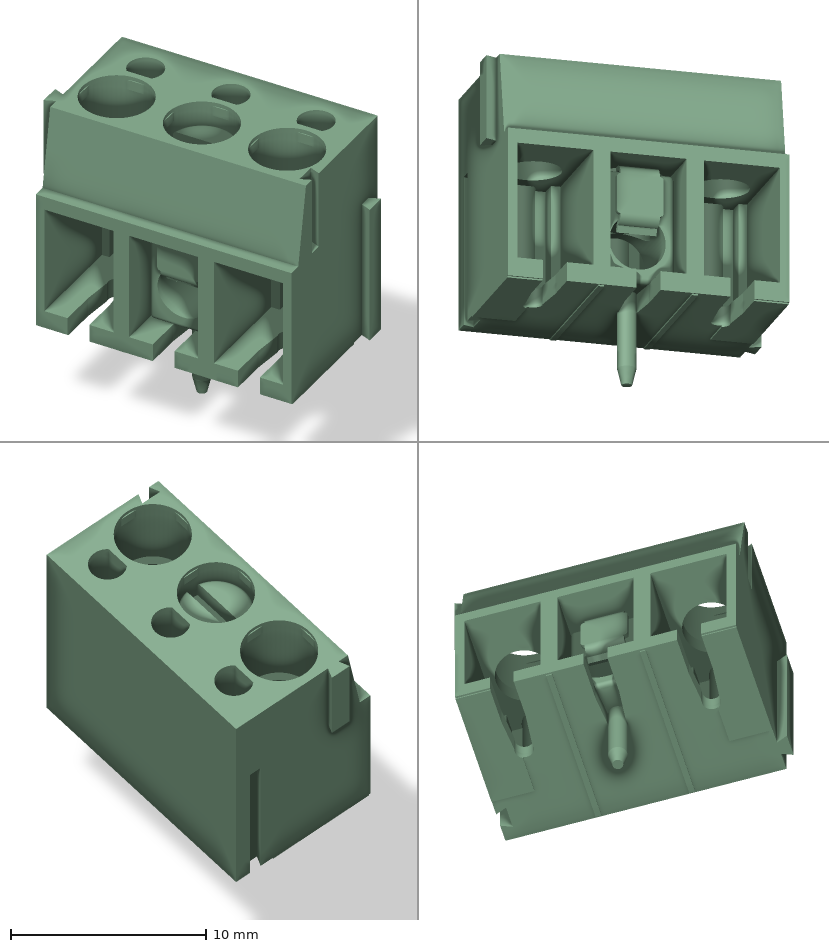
import cadquery as cq
import math


POLES = 3
POLE_PITCH = 5.0
BODY_WIDTH = POLES * POLE_PITCH
BODY_HEIGHT = 12.5
FRONT_Y = -4.0
BACK_Y = 5.0
STEP_Z = 8.0
BEVEL_TOP_SETBACK = 1.51
BEVEL_FOOT_SETBACK = 0.7

BAY_WIDTH = 4.05
BAY_PITCH = 4.97
BAY_FLOOR_Z = 1.02
BAY_CEILING_Z = 7.23
BAY_BACK_Y = 2.0
RECESS_WIDTH = 3.1
RECESS_BACK_Y = 3.0

HEAD_BORE_DIAMETER = 4.0
SEAT_HOLE_DIAMETER = 3.0
SEAT_Z = 8.23
RIB_INNER_RADIUS = 1.94
RIB_TOP_DEPTH = 0.23
RIB_HEIGHT = 0.57

PROBE_DIAMETER = 2.0
PROBE_Y = 3.03
PROBE_FLAT_Y = 2.35

SLOT_THROAT_WIDTH = 0.92
SLOT_MOUTH_WIDTH = 1.28
SLOT_FLARE_Y = -1.89

OVERALL_WIDTH = 16.2
DOVETAIL_DEPTH = (OVERALL_WIDTH - BODY_WIDTH) / 2
DOVETAIL_NECK = 0.7
DOVETAIL_WIDE = 1.2
DOVETAIL_FRONT_Y = FRONT_Y + 2.5
DOVETAIL_BACK_Y = FRONT_Y + 7.7

STANDOFF_HEIGHT = 0.08
STANDOFF_INSET = 0.1
PAD_WIDTH = 2.3
PAD_BACK_Y = 2.53
FOOT_RIB_WIDTH = 0.31

CLAMP_SIDE = 3.94
CLAMP_TOP_Z = 6.99
CLAMP_FILLET = 0.25
WIRE_HOLE_DIAMETER = 3.0
WIRE_HOLE_Z = 3.21
PIN_DIAMETER = 1.0
PIN_TIP_DIAMETER = 0.55
PIN_TIP_Z = -3.9
PIN_TAPER = 0.9

HEAD_DIAMETER = 3.9
HEAD_TOP_Z = 11.15
HEAD_FILLET = 0.2
DRIVE_SLOT_WIDTH = 0.79
DRIVE_SLOT_DEPTH = 0.98
SHANK_DIAMETER = 2.46
SHANK_TIP_Z = WIRE_HOLE_Z + WIRE_HOLE_DIAMETER / 2

GUARD_THICKNESS = BAY_CEILING_Z - CLAMP_TOP_Z
GUARD_FACE_Y = -2.46
GUARD_DISC_DIAMETER = 3.9
TONGUE_WIDTH = 2.1
PLATE_WIDTH = 2.5
PLATE_BOTTOM_Z = 4.51
PLATE_FILLET = 0.2
UPPER_BEND_RADIUS = 0.55
LOWER_BEND_RADIUS = 0.5
LIP_TILT = math.radians(26)
LIP_DROP = 0.35

OVERCUT = 0.16


def block(x_min, x_max, y_min, y_max, z_min, z_max):
    """Box between two opposite corners."""
    size = (x_max - x_min, y_max - y_min, z_max - z_min)
    return cq.Workplane("XY").box(*size, centered=False).translate((x_min, y_min, z_min))


def cylinder(diameter, z_min, z_max):
    """Upright cylinder on the Z axis."""
    return cq.Workplane("XY").workplane(offset=z_min).circle(diameter / 2).extrude(z_max - z_min)


def make_shell():
    """Plain housing block with its front ledge and sloping upper front."""
    profile = [
        (FRONT_Y, 0),
        (FRONT_Y, STEP_Z),
        (FRONT_Y + BEVEL_FOOT_SETBACK, STEP_Z),
        (FRONT_Y + BEVEL_TOP_SETBACK, BODY_HEIGHT),
        (BACK_Y, BODY_HEIGHT),
        (BACK_Y, 0),
    ]
    return cq.Workplane("YZ").polyline(profile).close().extrude(BODY_WIDTH / 2, both=True)


def make_bay():
    """Cutter for one clamp bay."""
    half = BAY_WIDTH / 2
    return block(-half, half, FRONT_Y - OVERCUT, BAY_BACK_Y, BAY_FLOOR_Z, BAY_CEILING_Z)


def make_bay_recess():
    """Cutter for the narrower recess in the back wall of a bay."""
    half = RECESS_WIDTH / 2
    return block(-half, half, 0, RECESS_BACK_Y, BAY_FLOOR_Z, BAY_CEILING_Z)


def make_screw_hole():
    """Cutter for a stepped screw hole, leaving four flat ribs near its mouth."""
    bore = cylinder(HEAD_BORE_DIAMETER, SEAT_Z, BODY_HEIGHT + OVERCUT)
    rib_top = BODY_HEIGHT - RIB_TOP_DEPTH
    rib_band = cylinder(HEAD_BORE_DIAMETER, rib_top - RIB_HEIGHT, rib_top)
    flat_side = 2 * RIB_INNER_RADIUS
    clear_core = cq.Workplane("XY").box(flat_side, flat_side, 2 * BODY_HEIGHT)
    seat_hole = cylinder(SEAT_HOLE_DIAMETER, BAY_CEILING_Z - OVERCUT, SEAT_Z)
    return bore.cut(rib_band.cut(clear_core)).union(seat_hole)


def make_probe_hole():
    """Cutter for a probe hole that is D-shaped above the bay."""
    hole = cylinder(PROBE_DIAMETER, BAY_FLOOR_Z, BODY_HEIGHT + OVERCUT).translate((0, PROBE_Y, 0))
    half = PROBE_DIAMETER / 2
    web = block(-half, half, 0, PROBE_FLAT_Y, 0, BODY_HEIGHT + OVERCUT)
    return hole.cut(web)


def make_pin_slot():
    """Cutter for a keyhole slot that widens towards the front."""
    outline = [
        (-SLOT_THROAT_WIDTH / 2, 0),
        (-SLOT_MOUTH_WIDTH / 2, SLOT_FLARE_Y),
        (-SLOT_MOUTH_WIDTH / 2, FRONT_Y),
        (SLOT_MOUTH_WIDTH / 2, FRONT_Y),
        (SLOT_MOUTH_WIDTH / 2, SLOT_FLARE_Y),
        (SLOT_THROAT_WIDTH / 2, 0),
    ]
    bottom = -STANDOFF_HEIGHT
    depth = BAY_FLOOR_Z - bottom
    slot = cq.Workplane("XY").workplane(offset=bottom).polyline(outline).close().extrude(depth)
    return slot.union(cylinder(PIN_DIAMETER, bottom, BAY_FLOOR_Z))


def make_dovetail(neck_x, depth, y, z_min, z_max):
    """Dovetail prism with its neck at neck_x; a negative depth makes it widen towards -X."""
    outline = [
        (neck_x, y - DOVETAIL_NECK / 2),
        (neck_x, y + DOVETAIL_NECK / 2),
        (neck_x + depth, y + DOVETAIL_WIDE / 2),
        (neck_x + depth, y - DOVETAIL_WIDE / 2),
    ]
    return cq.Workplane("XY").workplane(offset=z_min).polyline(outline).close().extrude(z_max - z_min)


def make_standoffs():
    """Two side pads and one narrow rib under each partition wall."""
    half = BODY_WIDTH / 2
    front = FRONT_Y + STANDOFF_INSET
    standoffs = block(-half, PAD_WIDTH - half, front, PAD_BACK_Y, -STANDOFF_HEIGHT, 0)
    standoffs = standoffs.union(block(half - PAD_WIDTH, half, front, PAD_BACK_Y, -STANDOFF_HEIGHT, 0))
    for wall in range(POLES - 1):
        x = (wall - (POLES - 2) / 2) * POLE_PITCH
        left = x - FOOT_RIB_WIDTH / 2
        back = BACK_Y - STANDOFF_INSET
        standoffs = standoffs.union(block(left, left + FOOT_RIB_WIDTH, front, back, -STANDOFF_HEIGHT, 0))
    return standoffs


def make_housing():
    """Housing with one identical cell per pole and dovetails on both sides."""
    half = BODY_WIDTH / 2
    housing = make_shell().union(make_standoffs())
    for pole in range(POLES):
        column = pole - (POLES - 1) / 2
        housing = housing.cut(make_bay().translate((column * BAY_PITCH, 0, 0)))
        for cutter in (make_bay_recess(), make_screw_hole(), make_probe_hole(), make_pin_slot()):
            housing = housing.cut(cutter.translate((column * POLE_PITCH, 0, 0)))

    upper = (DOVETAIL_FRONT_Y, STEP_Z, BODY_HEIGHT)
    lower = (DOVETAIL_BACK_Y, 0, STEP_Z)
    housing = housing.cut(make_dovetail(half, -DOVETAIL_DEPTH, *upper))
    housing = housing.cut(make_dovetail(-half, DOVETAIL_DEPTH, *lower))
    housing = housing.union(make_dovetail(-half, -DOVETAIL_DEPTH, *upper))
    return housing.union(make_dovetail(half, DOVETAIL_DEPTH, *lower))


def make_clamp():
    """Rounded clamp block with a wire passage, a screw hole and the solder pin below."""
    half = CLAMP_SIDE / 2
    clamp = block(-half, half, -half, half, BAY_FLOOR_Z, CLAMP_TOP_Z).edges().fillet(CLAMP_FILLET)
    wire_hole = (
        cq.Workplane("XZ")
        .center(0, WIRE_HOLE_Z)
        .circle(WIRE_HOLE_DIAMETER / 2)
        .extrude(CLAMP_SIDE, both=True)
    )
    clamp = clamp.cut(wire_hole).cut(cylinder(SHANK_DIAMETER, WIRE_HOLE_Z, CLAMP_TOP_Z))
    return clamp.union(make_solder_pin())


def make_solder_pin():
    """Round pin with a conical tip."""
    profile = [
        (0, PIN_TIP_Z),
        (PIN_TIP_DIAMETER / 2, PIN_TIP_Z),
        (PIN_DIAMETER / 2, PIN_TIP_Z + PIN_TAPER),
        (PIN_DIAMETER / 2, BAY_FLOOR_Z),
        (0, BAY_FLOOR_Z),
    ]
    return cq.Workplane("XZ").polyline(profile).close().revolve(360, (0, 0), (0, 1))


def make_screw():
    """Slotted cheese-head screw resting on the seat of the head bore."""
    head = cylinder(HEAD_DIAMETER, SEAT_Z, HEAD_TOP_Z).faces(">Z").edges().fillet(HEAD_FILLET)
    half = DRIVE_SLOT_WIDTH / 2
    drive_slot = block(
        -HEAD_DIAMETER, HEAD_DIAMETER, -half, half, HEAD_TOP_Z - DRIVE_SLOT_DEPTH, HEAD_TOP_Z + OVERCUT
    )
    return head.cut(drive_slot).union(cylinder(SHANK_DIAMETER, SHANK_TIP_Z, SEAT_Z))


def arc_middle(centre_y, centre_z, radius, degrees):
    """Point on a circle in the YZ plane."""
    angle = math.radians(degrees)
    return (centre_y + radius * math.cos(angle), centre_z + radius * math.sin(angle))


def make_wire_guard():
    """Disc on the clamp with a tongue bent down in front of it and into the wire passage."""
    disc_top = CLAMP_TOP_Z + GUARD_THICKNESS
    face_y = GUARD_FACE_Y
    back_y = face_y + GUARD_THICKNESS
    upper_y = face_y + UPPER_BEND_RADIUS
    upper_z = disc_top - UPPER_BEND_RADIUS
    upper_inner = UPPER_BEND_RADIUS - GUARD_THICKNESS
    lower_y = face_y + LOWER_BEND_RADIUS
    lower_inner = LOWER_BEND_RADIUS - GUARD_THICKNESS
    shoulder_z = PLATE_BOTTOM_Z - LOWER_BEND_RADIUS
    lip_y = lower_y + LIP_DROP * math.tan(LIP_TILT)
    lip_z = shoulder_z - LIP_DROP
    lip_back_y = lip_y + GUARD_THICKNESS * math.cos(LIP_TILT)
    lip_back_z = lip_z + GUARD_THICKNESS * math.sin(LIP_TILT)
    fold_y = lower_y + GUARD_THICKNESS * math.tan((math.pi / 2 - LIP_TILT) / 2)
    tongue = (
        cq.Workplane("YZ")
        .moveTo(0, disc_top)
        .lineTo(upper_y, disc_top)
        .threePointArc(arc_middle(upper_y, upper_z, UPPER_BEND_RADIUS, 135), (face_y, upper_z))
        .lineTo(face_y, PLATE_BOTTOM_Z)
        .threePointArc(arc_middle(lower_y, PLATE_BOTTOM_Z, LOWER_BEND_RADIUS, 225), (lower_y, shoulder_z))
        .lineTo(lip_y, lip_z)
        .lineTo(lip_back_y, lip_back_z)
        .lineTo(fold_y, shoulder_z + GUARD_THICKNESS)
        .lineTo(lower_y, shoulder_z + GUARD_THICKNESS)
        .threePointArc(arc_middle(lower_y, PLATE_BOTTOM_Z, lower_inner, 225), (back_y, PLATE_BOTTOM_Z))
        .lineTo(back_y, upper_z)
        .threePointArc(arc_middle(upper_y, upper_z, upper_inner, 135), (upper_y, CLAMP_TOP_Z))
        .lineTo(0, CLAMP_TOP_Z)
        .close()
        .extrude(TONGUE_WIDTH / 2, both=True)
    )
    half = PLATE_WIDTH / 2
    plate = block(-half, half, face_y, back_y, PLATE_BOTTOM_Z, upper_z).edges("|Y").fillet(PLATE_FILLET)
    disc = cylinder(GUARD_DISC_DIAMETER, CLAMP_TOP_Z, disc_top)
    return disc.union(tongue).union(plate).cut(cylinder(SHANK_DIAMETER, CLAMP_TOP_Z, disc_top))


housing = make_housing()
clamp = make_clamp()
screw = make_screw()
wire_guard = make_wire_guard()

result = cq.Compound.makeCompound([
    housing.solids().val(),
    clamp.solids().val(),
    screw.solids().val(),
    wire_guard.solids().val(),
])